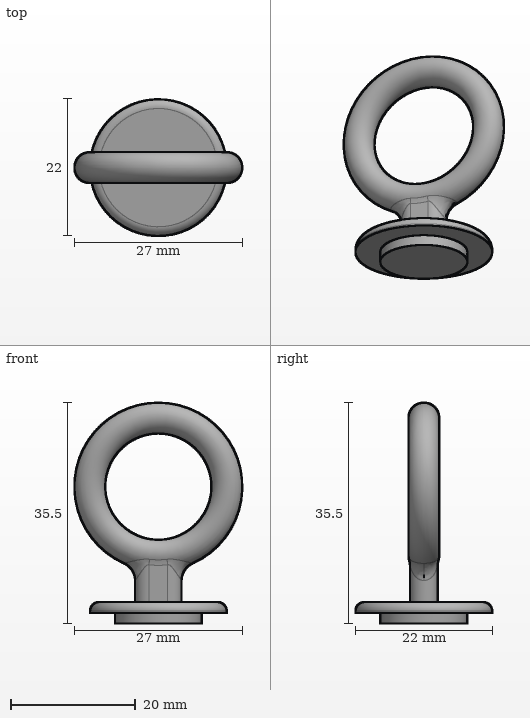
import cadquery as cq

TOTAL_HEIGHT = 35.5

RING_OUTER_DIAMETER = 27.0
RING_TUBE_DIAMETER = 5.0

SPIGOT_DIAMETER = 14.0
SPIGOT_HEIGHT = 1.7

FLANGE_DIAMETER = 22.0
FLANGE_THICKNESS = 1.8
FLANGE_ROUNDING = 1.5

STEM_LENGTH = 7.5
STEM_WIDTH = 4.5
NECK_FILLET = 3.0

SELECTION_MARGIN = 0.5

ring_tube_radius = RING_TUBE_DIAMETER / 2
ring_path_radius = (RING_OUTER_DIAMETER - RING_TUBE_DIAMETER) / 2
ring_center_z = TOTAL_HEIGHT - RING_OUTER_DIAMETER / 2
ring_path_bottom_z = ring_center_z - ring_path_radius
flange_top_z = SPIGOT_HEIGHT + FLANGE_THICKNESS


def make_base():
    """Round spigot below a wider flange with a rounded upper rim."""
    spigot = cq.Workplane("XY").circle(SPIGOT_DIAMETER / 2).extrude(SPIGOT_HEIGHT)
    flange = (
        cq.Workplane("XY")
        .workplane(offset=SPIGOT_HEIGHT)
        .circle(FLANGE_DIAMETER / 2)
        .extrude(FLANGE_THICKNESS)
        .faces(">Z")
        .edges()
        .fillet(FLANGE_ROUNDING)
    )
    return spigot.union(flange)


def make_ring():
    """Torus standing upright, with its axis along Y."""
    torus = cq.Solid.makeTorus(
        ring_path_radius,
        ring_tube_radius,
        cq.Vector(0, 0, ring_center_z),
        cq.Vector(0, 1, 0),
    )
    return cq.Workplane(torus)


def make_stem():
    """Stem with rounded ends, reaching up into the middle of the ring's tube."""
    return (
        cq.Workplane("XY")
        .workplane(offset=flange_top_z)
        .slot2D(STEM_LENGTH, STEM_WIDTH)
        .extrude(ring_path_bottom_z - flange_top_z)
    )


def make_eye():
    """Ring and stem joined, with a fillet all round the neck where they meet."""
    half_length = STEM_LENGTH / 2 + SELECTION_MARGIN
    half_width = STEM_WIDTH / 2 + SELECTION_MARGIN
    neck = cq.selectors.BoxSelector(
        (-half_length, -half_width, flange_top_z + SELECTION_MARGIN),
        (half_length, half_width, ring_path_bottom_z),
        boundingbox=True,
    )
    return make_ring().union(make_stem()).edges(neck).fillet(NECK_FILLET)


result = make_base().union(make_eye())